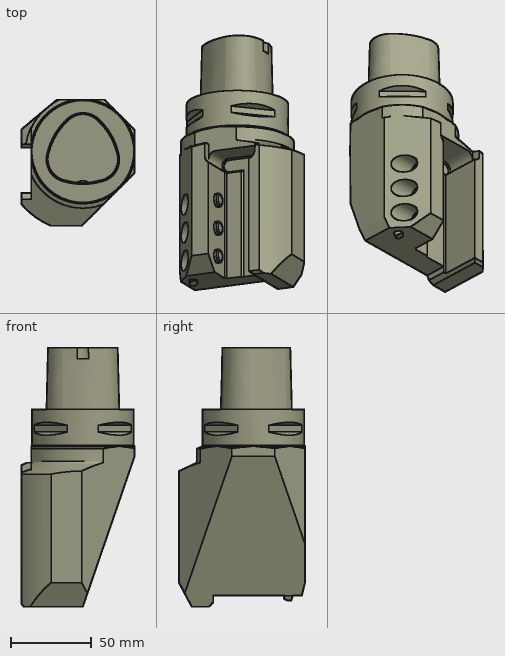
import math

import cadquery as cq

SHANK_LENGTH = 38.0
SHANK_TAPER = 1 / 40
LOBE_RADIUS = 13.2
LOBE_OFFSET = 9.7
SIDE_RADIUS = 40.7
KEYWAY_RADIUS = 5.7
KEYWAY_DEPTH = 6.8
KEYWAY_CENTER_Y = -23.8

FLANGE_RADIUS = 31.5
FLANGE_HEIGHT = 22.3
GROOVE_CENTER_Z = -12.0
GROOVE_FLOOR_DISTANCE = 28.0
GROOVE_FLOOR_HEIGHT = 4.0
GROOVE_FLANK_ANGLE = 30.0

BODY_FLAT = 32.0
BODY_LEFT = -38.0
BODY_FRONT = -46.0
BODY_CORNER_RADIUS = 50.0
SCREW_FACE_DISTANCE = 34.8
SCREW_FACE_ANGLE = 40.0
BODY_BOTTOM = -122.0
NECK_RADIUS = 35.0
COLLAR_RADIUS = 32.3
COLLAR_BOTTOM = -23.3
NECK_TOP = -24.4
NECK_BOTTOM = -33.0
NECK_FILLET = 1.3
SHOULDER_ANGLE = 25.0
SHOULDER_REACH = 60.0
BACK_ANGLE = 19.0
SHORT_JAW_BOTTOM = -115.0
FRONT_CHAMFER_DEPTH = 8.0
FRONT_CHAMFER_HEIGHT = 15.0
JAW_EDGE_CHAMFER = 2.8
JAW_SIDE_CHAMFER = 1.8
SHORT_JAW_CHAMFER = 9.5
REAR_CHAMFER_DEPTH = 2.0
REAR_CHAMFER_HEIGHT = 8.3

SLOT_REAR = 2.2
SLOT_FRONT = -25.5
SLOT_FLOOR = -12.0
FLOOR_CHAMFER = 0.9
SEAT_FRONT = -9.8
SEAT_HEIGHT = 1.0
RELIEF_REAR = 4.5
RELIEF_FRONT = -29.5
RELIEF_TOP = -38.0
RELIEF_BOTTOM = -47.3
LEDGE_ROUNDING = 1.0

SCREW_X = -25.5
SCREW_Y_OUTER = 60.0
SCREW_TOP_Z = -68.0
SCREW_PITCH = 18.0
SCREW_COUNT = 3
SCREW_BORE_DIAMETER = 12.5
SCREW_BORE_END_Y = 12.0
SCREW_TIP_DIAMETER = 8.5
SCREW_TIP_PROJECTION = 2.5
SCREW_TIP_CHAMFER = 0.9

NOZZLE_DIAMETER = 5.0
NOZZLE_X = -18.0
NOZZLE_Y = 21.8
NOZZLE_SIDE_ANGLE = 17.0
NOZZLE_PROJECTION = 2.4
NOZZLE_ROOT = 5.0

CLEAR = 20.0


def box(x0, x1, y0, y1, z0, z1):
    """Box between the given limits."""
    return cq.Workplane("XY").box(x1 - x0, y1 - y0, z1 - z0, centered=False).translate((x0, y0, z0))


def bar_along_x(points, x0, x1):
    """Prism along X from (y, z) points."""
    return cq.Workplane("YZ").polyline(points).close().extrude(x1 - x0).translate((x0, 0, 0))


def bar_along_y(points, y0, y1):
    """Prism along Y from (x, z) points."""
    return cq.Workplane("XZ").polyline(points).close().extrude(y0 - y1).translate((0, y0, 0))


def lobed_wire(growth, z):
    """Six tangent arcs, three lobes (one toward +Y) and three sides, grown outward by a distance."""
    lobe_radius = LOBE_RADIUS + growth
    side_radius = SIDE_RADIUS + growth
    half_spread = LOBE_OFFSET * math.sin(math.radians(60))
    center_gap = SIDE_RADIUS - LOBE_RADIUS
    side_half_angle = math.degrees(math.asin(half_spread / center_gap))
    reach = side_radius + LOBE_OFFSET / 2 - math.sqrt(center_gap**2 - half_spread**2)

    def lobe_point(lobe, turn):
        """Point of a lobe arc, turned about the lobe center from the lobe tip."""
        center = math.radians(lobe)
        around = math.radians(lobe + turn)
        x = LOBE_OFFSET * math.cos(center) + lobe_radius * math.cos(around)
        y = LOBE_OFFSET * math.sin(center) + lobe_radius * math.sin(around)
        return (x, y)

    turn = 60 - side_half_angle
    wire = cq.Workplane("XY", origin=(0, 0, z)).moveTo(*lobe_point(90, -turn))
    for lobe in (90, 210, 330):
        side = math.radians(lobe + 60)
        side_middle = (reach * math.cos(side), reach * math.sin(side))
        wire = wire.threePointArc(lobe_point(lobe, 0), lobe_point(lobe, turn))
        wire = wire.threePointArc(side_middle, lobe_point(lobe + 120, -turn))
    return wire.close().val()


def make_shank():
    base = lobed_wire(SHANK_LENGTH * SHANK_TAPER, 0)
    end = lobed_wire(0, SHANK_LENGTH)
    shank = cq.Workplane("XY").add(cq.Solid.makeLoft([base, end], True))
    keyway = (
        cq.Workplane("XY", origin=(0, KEYWAY_CENTER_Y, SHANK_LENGTH - KEYWAY_DEPTH))
        .circle(KEYWAY_RADIUS)
        .extrude(KEYWAY_DEPTH + CLEAR)
    )
    return shank.cut(keyway)


def make_flange():
    flange = cq.Workplane("XY").circle(FLANGE_RADIUS).extrude(-FLANGE_HEIGHT)
    half_floor = GROOVE_FLOOR_HEIGHT / 2
    outer = FLANGE_RADIUS + CLEAR
    rise = (outer - GROOVE_FLOOR_DISTANCE) * math.tan(math.radians(GROOVE_FLANK_ANGLE))
    groove = bar_along_y(
        [
            (GROOVE_FLOOR_DISTANCE, GROOVE_CENTER_Z - half_floor),
            (outer, GROOVE_CENTER_Z - half_floor - rise),
            (outer, GROOVE_CENTER_Z + half_floor + rise),
            (GROOVE_FLOOR_DISTANCE, GROOVE_CENTER_Z + half_floor),
        ],
        -FLANGE_RADIUS,
        FLANGE_RADIUS,
    )
    for turn in (45, 135, 225, 315):
        flange = flange.cut(groove.rotate((0, 0, 0), (0, 0, 1), turn))
    return flange


def body_prism():
    """Vertical prism with the full body outline."""
    diagonal = BODY_FLAT * math.sqrt(2)
    corner = diagonal - BODY_FLAT
    face_sin = math.sin(math.radians(SCREW_FACE_ANGLE))
    face_cos = math.cos(math.radians(SCREW_FACE_ANGLE))
    arc_y = -math.sqrt(BODY_CORNER_RADIUS**2 - BODY_LEFT**2)
    arc_x = -math.sqrt(BODY_CORNER_RADIUS**2 - BODY_FRONT**2)
    middle = (math.atan2(arc_y, BODY_LEFT) + math.atan2(BODY_FRONT, arc_x)) / 2
    arc_middle = (BODY_CORNER_RADIUS * math.cos(middle), BODY_CORNER_RADIUS * math.sin(middle))
    return (
        cq.Workplane("XY", origin=(0, 0, BODY_BOTTOM))
        .moveTo(BODY_LEFT, arc_y)
        .threePointArc(arc_middle, (arc_x, BODY_FRONT))
        .lineTo(BODY_FRONT + diagonal, BODY_FRONT)
        .lineTo(BODY_FLAT, -corner)
        .lineTo(BODY_FLAT, corner)
        .lineTo(corner, BODY_FLAT)
        .lineTo((BODY_FLAT * face_cos - SCREW_FACE_DISTANCE) / face_sin, BODY_FLAT)
        .lineTo(BODY_LEFT, (SCREW_FACE_DISTANCE + BODY_LEFT * face_sin) / face_cos)
        .close()
        .extrude(-BODY_BOTTOM - FLANGE_HEIGHT)
    )


def neck_envelope():
    """Round envelope giving the neck and the conical shoulder."""
    shoulder_drop = (SHOULDER_REACH - NECK_RADIUS) * math.tan(math.radians(SHOULDER_ANGLE))
    slope = math.radians(SHOULDER_ANGLE)
    half_turn = (math.pi / 2 - slope) / 2
    tangent = NECK_FILLET * math.tan(half_turn)
    fillet_x = NECK_RADIUS + NECK_FILLET
    fillet_z = NECK_BOTTOM + tangent
    fillet_middle = (
        fillet_x - NECK_FILLET * math.cos(half_turn),
        fillet_z - NECK_FILLET * math.sin(half_turn),
    )
    fillet_end = (NECK_RADIUS + tangent * math.cos(slope), NECK_BOTTOM - tangent * math.sin(slope))
    return (
        cq.Workplane("XZ")
        .moveTo(0, -FLANGE_HEIGHT)
        .lineTo(FLANGE_RADIUS, -FLANGE_HEIGHT)
        .lineTo(COLLAR_RADIUS, COLLAR_BOTTOM)
        .lineTo(NECK_RADIUS, NECK_TOP)
        .lineTo(NECK_RADIUS, fillet_z)
        .threePointArc(fillet_middle, fillet_end)
        .lineTo(SHOULDER_REACH, NECK_BOTTOM - shoulder_drop)
        .lineTo(SHOULDER_REACH, BODY_BOTTOM)
        .lineTo(0, BODY_BOTTOM)
        .close()
        .revolve(360, (0, 0, 0), (0, 1, 0))
    )


def back_cut():
    """Material behind the leaning back face, which meets the bottom at X = 0."""
    slope_top = BODY_BOTTOM + BODY_FLAT / math.tan(math.radians(BACK_ANGLE))
    return bar_along_y(
        [
            (0, BODY_BOTTOM),
            (BODY_FLAT, slope_top),
            (BODY_FLAT + CLEAR, slope_top),
            (BODY_FLAT + CLEAR, BODY_BOTTOM),
        ],
        -SHOULDER_REACH,
        SHOULDER_REACH,
    )


def neck_flat_cut():
    """Flat on the -X side of the neck, deepened above the relief."""
    relief_middle = (RELIEF_TOP + RELIEF_BOTTOM) / 2
    lean = LEDGE_ROUNDING * (1 - math.sqrt(0.5))
    return (
        cq.Workplane("YZ", origin=(BODY_LEFT - CLEAR, 0, 0))
        .moveTo(SHOULDER_REACH, 0)
        .lineTo(SHOULDER_REACH, NECK_BOTTOM)
        .lineTo(RELIEF_REAR + LEDGE_ROUNDING, NECK_BOTTOM)
        .threePointArc(
            (RELIEF_REAR + lean, NECK_BOTTOM - lean),
            (RELIEF_REAR, NECK_BOTTOM - LEDGE_ROUNDING),
        )
        .lineTo(RELIEF_REAR, relief_middle)
        .lineTo(RELIEF_FRONT, relief_middle)
        .lineTo(RELIEF_FRONT, NECK_BOTTOM)
        .lineTo(-SHOULDER_REACH, NECK_BOTTOM)
        .lineTo(-SHOULDER_REACH, 0)
        .close()
        .extrude(CLEAR - BODY_LEFT - BODY_FLAT)
    )


def slot_cut():
    """Slot for the tool shank with chamfered floor corners and a raised seat strip."""
    seat = SLOT_FLOOR - SEAT_HEIGHT
    slot = (
        cq.Workplane("XY", origin=(0, 0, BODY_BOTTOM))
        .polyline(
            [
                (BODY_LEFT - CLEAR, SLOT_REAR),
                (seat - FLOOR_CHAMFER, SLOT_REAR),
                (seat, SLOT_REAR - FLOOR_CHAMFER),
                (seat, SEAT_FRONT + SEAT_HEIGHT),
                (SLOT_FLOOR, SEAT_FRONT),
                (SLOT_FLOOR, SLOT_FRONT + FLOOR_CHAMFER),
                (SLOT_FLOOR - FLOOR_CHAMFER, SLOT_FRONT),
                (BODY_LEFT - CLEAR, SLOT_FRONT),
            ]
        )
        .close()
        .extrude((RELIEF_TOP + RELIEF_BOTTOM) / 2 - BODY_BOTTOM)
    )
    relief_length = RELIEF_REAR - RELIEF_FRONT
    relief_height = RELIEF_TOP - RELIEF_BOTTOM
    relief_center = ((RELIEF_REAR + RELIEF_FRONT) / 2, (RELIEF_TOP + RELIEF_BOTTOM) / 2)
    relief = (
        cq.Workplane("YZ", origin=(BODY_LEFT - CLEAR, 0, 0))
        .center(*relief_center)
        .slot2D(relief_length, relief_height)
        .extrude(SLOT_FLOOR - BODY_LEFT + CLEAR)
        .faces(">X")
        .chamfer(FLOOR_CHAMFER)
    )
    return slot.union(relief)


def bottom_cuts():
    """Short jaw end and the chamfers around the lower ends of both jaws."""
    jaw_step = SLOT_FRONT + FLOOR_CHAMFER
    short_end = box(BODY_LEFT, BODY_FLAT, jaw_step, SHOULDER_REACH, BODY_BOTTOM, SHORT_JAW_BOTTOM)
    front = bar_along_x(
        [
            (BODY_FRONT, BODY_BOTTOM),
            (BODY_FRONT + FRONT_CHAMFER_DEPTH, BODY_BOTTOM),
            (BODY_FRONT, BODY_BOTTOM + FRONT_CHAMFER_HEIGHT),
        ],
        BODY_LEFT,
        BODY_FLAT,
    )
    inner_edge = bar_along_x(
        [
            (jaw_step, BODY_BOTTOM),
            (jaw_step - JAW_EDGE_CHAMFER, BODY_BOTTOM),
            (jaw_step, BODY_BOTTOM + JAW_EDGE_CHAMFER),
        ],
        BODY_LEFT,
        BODY_FLAT,
    )
    left_edge = bar_along_y(
        [
            (BODY_LEFT, BODY_BOTTOM),
            (BODY_LEFT + JAW_SIDE_CHAMFER, BODY_BOTTOM),
            (BODY_LEFT, BODY_BOTTOM + JAW_SIDE_CHAMFER),
        ],
        BODY_FRONT,
        jaw_step,
    )
    short_jaw = bar_along_y(
        [
            (BODY_LEFT, SHORT_JAW_BOTTOM),
            (BODY_LEFT + SHORT_JAW_CHAMFER, SHORT_JAW_BOTTOM),
            (BODY_LEFT, SHORT_JAW_BOTTOM + SHORT_JAW_CHAMFER),
        ],
        0,
        SHOULDER_REACH,
    )
    rear = bar_along_x(
        [
            (BODY_FLAT, SHORT_JAW_BOTTOM),
            (BODY_FLAT - REAR_CHAMFER_DEPTH, SHORT_JAW_BOTTOM),
            (BODY_FLAT, SHORT_JAW_BOTTOM + REAR_CHAMFER_HEIGHT),
        ],
        BODY_LEFT,
        BODY_FLAT,
    )
    return [short_end, front, inner_edge, left_edge, short_jaw, rear]


def make_body():
    body = body_prism().intersect(neck_envelope())
    for cutter in [back_cut(), neck_flat_cut(), slot_cut()] + bottom_cuts():
        body = body.cut(cutter)
    return body


def add_screws(body):
    """Screw bores along Y with chamfered screw tips standing out of the slot wall."""
    for i in range(SCREW_COUNT):
        z = SCREW_TOP_Z - i * SCREW_PITCH
        bore = (
            cq.Workplane("XZ", origin=(SCREW_X, SCREW_Y_OUTER, z))
            .circle(SCREW_BORE_DIAMETER / 2)
            .extrude(SCREW_Y_OUTER - SCREW_BORE_END_Y)
        )
        tip = (
            cq.Workplane("XZ", origin=(SCREW_X, SCREW_BORE_END_Y, z))
            .circle(SCREW_TIP_DIAMETER / 2)
            .extrude(SCREW_BORE_END_Y - SLOT_REAR + SCREW_TIP_PROJECTION)
            .faces("<Y")
            .chamfer(SCREW_TIP_CHAMFER)
        )
        body = body.cut(bore).union(tip)
    return body


def make_nozzle():
    nozzle = (
        cq.Workplane("XY")
        .circle(NOZZLE_DIAMETER / 2)
        .extrude(NOZZLE_ROOT + NOZZLE_PROJECTION)
        .translate((0, 0, -NOZZLE_PROJECTION))
    )
    nozzle = nozzle.rotate((0, 0, 0), (0, 1, 0), BACK_ANGLE)
    nozzle = nozzle.rotate((0, 0, 0), (1, 0, 0), -NOZZLE_SIDE_ANGLE)
    return nozzle.translate((NOZZLE_X, NOZZLE_Y, SHORT_JAW_BOTTOM))


result = make_shank().union(make_flange()).union(add_screws(make_body())).union(make_nozzle())